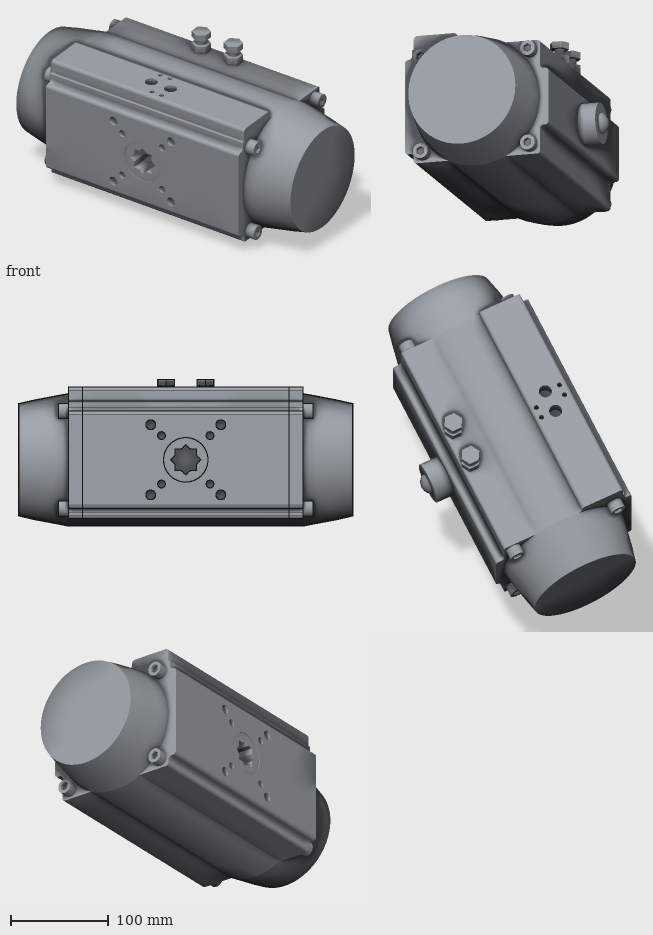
import cadquery as cq
import math


overall_length = 342.0
cap_face = 120.0
plate_thickness = 14.5
housing_half = cap_face - plate_thickness

barrel_radius = 67.7
block_half_width = 67.7
block_half_height = 60.2
back_pad = (77.0, 30.0)
front_pad = (-77.3, 50.0)
rail_step = 1.88
rail_inner, rail_top = -21.2, 74.5
edge_radius = 3.8
corner_radius = 3.0
ledge_radius = 0.85

dome_end_radius = 57.5
dome_bulge = 0.5

screw_y, screw_z = 57.5, 50.0
screw_head_diameter, screw_head_length = 15.7, 10.3
screw_socket_width, screw_socket_depth = 8.2, 5.0

shaft_diameter, shaft_end = 42.8, 95.8
button_radius, button_rim, button_tip = 10.5, 1.7, 103.3

recess_diameter, recess_depth = 45.5, 0.7
star_width, star_depth = 22.0, 27.5
mount_patterns = [(36.0, 10.0, 17.0), (24.8, 8.0, 13.7)]

port_x, port_y = 12.0, -43.8
port_diameter, port_depth = 13.5, 13.7
valve_hole_offset, valve_hole_diameter, valve_hole_depth = 16.0, 5.0, 10.3
drill_point_angle = 118.0

stop_x, stop_y = 20.0, 57.0
hex_width = 17.5
nut_height, stop_head_height, stop_shank_diameter = 8.5, 7.0, 10.3
stop_top = 82.5


def rounded_outline(corners):
    """Closed YZ wire through corners (y, z, radius), each rounded by a tangent arc."""
    points = [cq.Vector(y, z) for y, z, _ in corners]
    stretches = []
    for i, (_, _, radius) in enumerate(corners):
        corner = points[i]
        before = (points[i - 1] - corner).normalized()
        after = (points[(i + 1) % len(points)] - corner).normalized()
        half_angle = before.getAngle(after) / 2
        setback = radius / math.tan(half_angle)
        sagitta = radius / math.sin(half_angle) - radius
        middle = corner + (before + after).normalized() * sagitta
        stretches.append((corner + before * setback, middle, corner + after * setback, radius))
    path = cq.Workplane("YZ").moveTo(stretches[0][2].x, stretches[0][2].y)
    for start, middle, end, radius in stretches[1:] + stretches[:1]:
        path = path.lineTo(start.x, start.y)
        if radius > 0:
            path = path.threePointArc((middle.x, middle.y), (end.x, end.y))
    return path.close()


def profile_bar(x_start, length):
    """Length of the housing section: block with pads and rail, joined to the round barrel."""
    pad_y, pad_z = back_pad
    face_y, face_z = front_pad
    width, height = block_half_width, block_half_height
    block = rounded_outline([
        (width, -height, corner_radius),
        (width, -pad_z, edge_radius),
        (pad_y, -pad_z, edge_radius),
        (pad_y, pad_z, edge_radius),
        (width, pad_z, edge_radius),
        (width, height, corner_radius),
        (rail_inner, height, 0),
        (rail_inner, rail_top, edge_radius),
        (-width, rail_top, edge_radius),
        (-width, height, ledge_radius),
        (-width - rail_step, height, ledge_radius),
        (-width - rail_step, face_z, edge_radius),
        (face_y, face_z, edge_radius),
        (face_y, -face_z, edge_radius),
        (-width, -face_z, edge_radius),
        (-width, -height, corner_radius),
    ]).extrude(length)
    barrel = cq.Workplane("YZ").circle(barrel_radius).extrude(length)
    bar = block.union(barrel)

    flat_y = math.sqrt(barrel_radius**2 - height**2)
    rail_z = math.sqrt(barrel_radius**2 - rail_inner**2)
    for y, z in [(flat_y, height), (flat_y, -height), (-flat_y, -height), (rail_inner, rail_z)]:
        seam = cq.selectors.NearestToPointSelector((length / 2, y, z))
        bar = bar.edges("|X").edges(seam).fillet(edge_radius)
    return bar.translate((x_start, 0, 0))


def drilled_hole(diameter, depth):
    """Cutter along -Z from the origin, with a conical drill point."""
    radius = diameter / 2
    point = radius / math.tan(math.radians(drill_point_angle / 2))
    outline = [(0, 0), (radius, 0), (radius, -depth), (0, -depth - point)]
    return cq.Workplane("XZ").polyline(outline).close().revolve(360, (0, 0), (0, 1))


def hex_prism(plane, width, length):
    """Hexagon across flats `width`, with two corners on the local vertical axis."""
    hexagon = cq.Workplane(plane).polygon(6, width / math.cos(math.pi / 6)).extrude(length)
    return hexagon.rotate((0, 0, 0), cq.Workplane(plane).plane.zDir.toTuple(), 30)


def drive_shaft():
    """Shaft stub on the back pad, ending in a spherical indicator button."""
    stub = cq.Workplane("XY").circle(shaft_diameter / 2).extrude(shaft_end)
    rim = shaft_end + button_rim
    cap_height = button_tip - rim
    sphere_radius = (button_radius**2 + cap_height**2) / (2 * cap_height)
    centre = button_tip - sphere_radius
    half_angle = math.asin(button_radius / sphere_radius) / 2
    middle = (sphere_radius * math.sin(half_angle), centre + sphere_radius * math.cos(half_angle))
    button = (
        cq.Workplane("XZ")
        .lineTo(button_radius, 0)
        .lineTo(button_radius, rim)
        .threePointArc(middle, (0, button_tip))
        .close()
        .revolve(360, (0, 0), (0, 1))
    )
    return stub.union(button).rotate((0, 0, 0), (1, 0, 0), -90)


def stop_bolt():
    """Hexagon bolt with its lock nut, standing on the top flat."""
    shank = cq.Workplane("XY").circle(stop_shank_diameter / 2).extrude(stop_top - block_half_height)
    nut = hex_prism("XY", hex_width, nut_height)
    head_bottom = stop_top - stop_head_height - block_half_height
    head = hex_prism("XY", hex_width, stop_head_height).translate((0, 0, head_bottom))
    return shank.union(nut).union(head)


def drive_socket():
    """Shallow round recess with an eight-pointed star socket, cut into the front pad."""
    recess = cq.Workplane("XY").circle(recess_diameter / 2).extrude(-recess_depth)
    square = cq.Workplane("XY").rect(star_width, star_width).extrude(-star_depth)
    star = square.union(square.rotate((0, 0, 0), (0, 0, 1), 45))
    return recess.union(star)


def onto_front_pad(cutter, x, z):
    """Turn a cutter made along -Z so that it enters the front pad at (x, z)."""
    return cutter.rotate((0, 0, 0), (1, 0, 0), 90).translate((x, front_pad[0], z))


def make_housing():
    body = profile_bar(-housing_half, 2 * housing_half)
    body = body.union(drive_shaft())
    for x in (-stop_x, stop_x):
        body = body.union(stop_bolt().translate((x, stop_y, block_half_height)))

    body = body.cut(onto_front_pad(drive_socket(), 0, 0))
    for offset, diameter, depth in mount_patterns:
        for x in (-offset, offset):
            for z in (-offset, offset):
                body = body.cut(onto_front_pad(drilled_hole(diameter, depth), x, z))

    valve_hole = drilled_hole(valve_hole_diameter, valve_hole_depth)
    for side in (-1, 1):
        port = drilled_hole(port_diameter, port_depth)
        body = body.cut(port.translate((side * port_x, port_y, rail_top)))
        row_y = port_y - side * valve_hole_offset
        for x in (0, side * port_x):
            body = body.cut(valve_hole.translate((x, row_y, rail_top)))
    return body


def cap_screw():
    """Socket head along +X from the origin."""
    head = cq.Workplane("YZ").circle(screw_head_diameter / 2).extrude(screw_head_length)
    socket = hex_prism("YZ", screw_socket_width, screw_socket_depth)
    return head.cut(socket.translate((screw_head_length - screw_socket_depth, 0, 0)))


def make_right_cap():
    """End plate, slightly bulged conical dome and four screw heads, on the +X end."""
    end = overall_length / 2
    middle = ((cap_face + end) / 2, (barrel_radius + dome_end_radius) / 2 + dome_bulge)
    dome = (
        cq.Workplane("XY")
        .moveTo(housing_half, 0)
        .lineTo(housing_half, barrel_radius)
        .lineTo(cap_face, barrel_radius)
        .threePointArc(middle, (end, dome_end_radius))
        .lineTo(end, 0)
        .close()
        .revolve(360, (0, 0), (1, 0))
    )
    cap = profile_bar(housing_half, plate_thickness).union(dome)
    for y in (-screw_y, screw_y):
        for z in (-screw_z, screw_z):
            cap = cap.union(cap_screw().translate((cap_face, y, z)))
    return cap


housing = make_housing()
right_cap = make_right_cap()
left_cap = right_cap.mirror("YZ")

result = cq.Compound.makeCompound([
    *housing.solids().vals(),
    *left_cap.solids().vals(),
    *right_cap.solids().vals(),
])